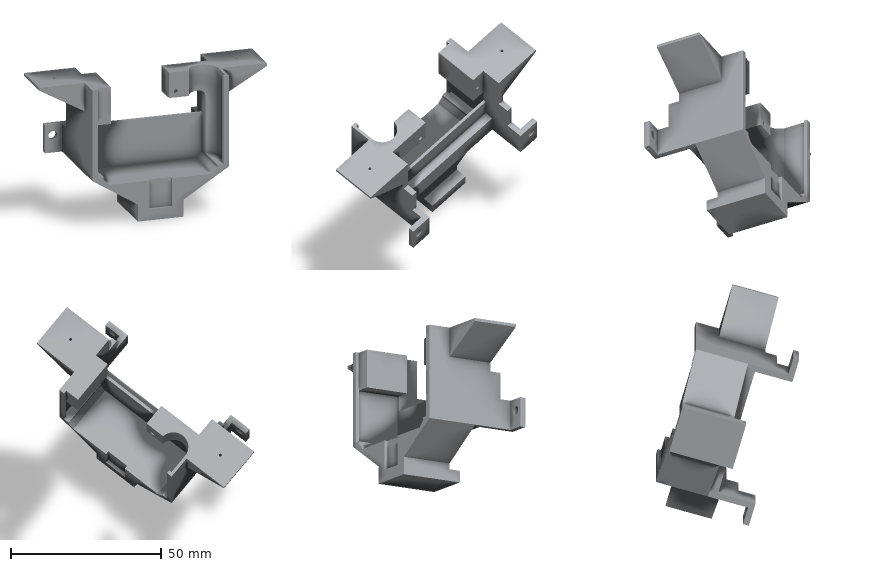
import cadquery as cq
import math

drill_point_angle = 118

depth = 34.0
height = 48.0
half_width = 24.0
wall = 2.0
inner_half = half_width - wall
body_bottom = 16.0

ear_top = 26.0
step_x = 6.0
step_top = 35.0
post_x = 10.0

ear_half_span = 30.0
ear_thickness = 2.0
ear_hole_diameter = 3.0
ear_hole_y = 27.2
ear_hole_z = 22.0

bracket_length = 16.0
bracket_reach = 40.0
bracket_tip_bottom = height - wall / 2
bracket_root_bottom = 38.0
bracket_hole_diameter = 1.0
bracket_hole_depth = 2.5 * wall

panel_x = 16.0
panel_thickness = wall / 2
panel_back = panel_x + panel_thickness
panel_top = 30.0
ledge_x = panel_x - 1.5 * wall
ledge_top = (body_bottom + panel_top) / 2

base_half_width = 8.0
taper_bottom = 6.0
foot_x = 12.0
foot_height = 4.0

rim_x = 32.8
pocket_half = half_width - wall / 2
shelf_z = body_bottom + wall / 2
shelf_inner_half = 20.0
shelf_step_bottom = body_bottom
floor_half = 18.0
floor_z = 14.0
notch_half = 4.0
notch_bottom = foot_height

cradle_end_x = 24.9
cradle_inner_y = 6.0
cradle_bottom = 39.0
cradle_leg_y = 20.0
cradle_fillet = 2.0
cradle_bore_diameter = 10.0
cradle_bore_radius = cradle_bore_diameter / 2
cradle_bore_x = 25.6
stop_inner_y = inner_half - 2.5 * wall
stop_bottom = step_top
pin_hole_diameter = 1.5
pin_hole_z = cradle_bottom + wall
cradle_pin_y = 8.4
stop_pin_y = 19.2
stop_pin_depth = 8.0


def box(x0, x1, y0, y1, z0, z1):
    """Axis-aligned box between two opposite corners."""
    return cq.Workplane("XY").box(x1 - x0, y1 - y0, z1 - z0, centered=False).translate((x0, y0, z0))


def rod_x(x0, length, y, z, diameter):
    """Cylinder along +X."""
    return cq.Workplane("YZ", origin=(x0, y, z)).circle(diameter / 2).extrude(length)


def drill(start, direction, diameter, shank_depth):
    """Blind drilled hole: a cylinder followed by a conical tip."""
    radius = diameter / 2
    tip_length = radius / math.tan(math.radians(drill_point_angle / 2))
    tip_start = start + direction * shank_depth
    shank = cq.Workplane(cq.Solid.makeCylinder(radius, shank_depth, start, direction))
    tip = cq.Workplane(cq.Solid.makeCone(radius, 0, tip_length, tip_start, direction))
    return shank.union(tip)


def prism_x(points, x0, x1):
    """Prism along X from a profile in the YZ plane."""
    return cq.Workplane("YZ", origin=(x0, 0, 0)).polyline(points).close().extrude(x1 - x0)


def mirrored(points):
    """Close a right-half YZ outline with its mirror image."""
    return points + [(-y, z) for y, z in reversed(points)]


def side():
    """Wall, ear and bracket on the +Y side."""
    profile = [
        (0, body_bottom),
        (depth, body_bottom),
        (depth, height),
        (post_x, height),
        (post_x, step_top),
        (step_x, step_top),
        (step_x, ear_top),
        (0, ear_top),
    ]
    side_wall = cq.Workplane("XZ", origin=(0, half_width, 0)).polyline(profile).close().extrude(wall)
    ear = box(0, ear_thickness, inner_half, ear_half_span, body_bottom, ear_top)
    ear = ear.cut(rod_x(0, ear_thickness, ear_hole_y, ear_hole_z, ear_hole_diameter))
    bracket = prism_x(
        [
            (half_width, bracket_root_bottom),
            (bracket_reach, bracket_tip_bottom),
            (bracket_reach, height),
            (half_width, height),
        ],
        post_x,
        post_x + bracket_length,
    )
    hole_x = post_x + bracket_length / 2
    hole_y = (half_width + bracket_reach) / 2
    hole_start = cq.Vector(hole_x, hole_y, height)
    hole = drill(hole_start, cq.Vector(0, 0, -1), bracket_hole_diameter, bracket_hole_depth)
    rim_post = box(rim_x, depth, inner_half, half_width, body_bottom, height)
    pocket = box(panel_back, rim_x, inner_half, pocket_half, shelf_z, height)
    return side_wall.cut(pocket).union(rim_post).union(ear).union(bracket.cut(hole))


def base():
    """Tapered solid base with the stepped trough floor, rear notch and foot."""
    outline = mirrored([
        (base_half_width, 0),
        (base_half_width, taper_bottom),
        (half_width, body_bottom),
        (half_width, shelf_z),
    ])
    trough = mirrored([
        (floor_half, floor_z),
        (shelf_inner_half, shelf_step_bottom),
        (shelf_inner_half, height),
    ])
    body = prism_x(outline, panel_x, depth)
    body = body.cut(prism_x(trough, panel_back, depth))
    body = body.cut(box(rim_x, depth, -notch_half, notch_half, notch_bottom, floor_z))
    return body.union(box(foot_x, panel_x, -base_half_width, base_half_width, 0, foot_height))


def panel():
    """Front panel with a thicker ledge along its lower half."""
    ledge = box(ledge_x, panel_x, -inner_half, inner_half, body_bottom, ledge_top)
    return box(panel_x, panel_back, -inner_half, inner_half, body_bottom, panel_top).union(ledge)


def cradle():
    """Block on the +Y side, on a leg, with a vertical half-round relief."""
    arm = box(panel_back, cradle_end_x, cradle_inner_y, pocket_half, shelf_z, height)
    opening = box(panel_back, cradle_end_x, 0, cradle_leg_y, 0, cradle_bottom)
    opening = opening.edges("|X and >Y and >Z").fillet(cradle_fillet)
    bore_y = pocket_half - cradle_bore_radius
    bore = cq.Workplane("XY", origin=(cradle_bore_x, bore_y, 0)).circle(cradle_bore_radius).extrude(height)
    pin_hole = rod_x(0, depth, cradle_pin_y, pin_hole_z, pin_hole_diameter)
    return arm.cut(opening).cut(bore).cut(pin_hole)


def stop():
    """Block on the -Y side with a blind, cone-tipped pin hole."""
    block = box(panel_back, rim_x, -pocket_half, -stop_inner_y, stop_bottom, height)
    start = cq.Vector(panel_back, -stop_pin_y, pin_hole_z)
    return block.cut(drill(start, cq.Vector(1, 0, 0), pin_hole_diameter, stop_pin_depth))


left_side = side()
result = (
    base()
    .union(left_side)
    .union(left_side.mirror("XZ"))
    .union(panel())
    .union(cradle())
    .union(stop())
    .clean()
)